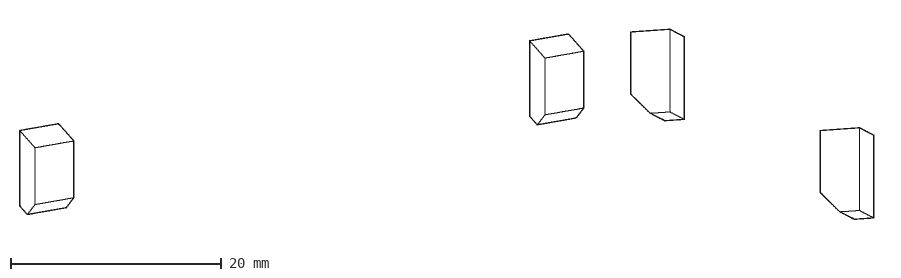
import cadquery as cq

overall_length = 56.0
block_width = 4.0
block_depth = 4.0
block_height = 8.0
chamfer_size = block_width / 2

end_offset = (overall_length - block_depth) / 2


def make_block(center_y):
    """Upright block with its lower +X edge bevelled."""
    return (
        cq.Workplane("XY")
        .box(block_width, block_depth, block_height)
        .edges(">X and <Z")
        .chamfer(chamfer_size)
        .translate((0, center_y, 0))
    )


blocks = [make_block(side * end_offset) for side in (-1, 1)]

result = cq.Compound.makeCompound([block.val() for block in blocks])